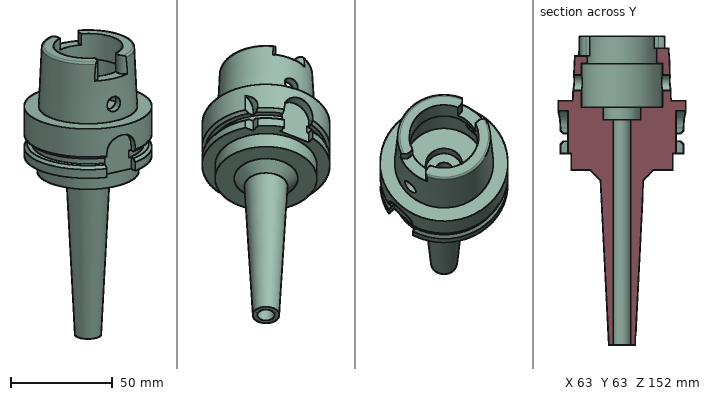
import cadquery as cq

total_height = 152.0
flange_top = 120.2
groove_top = 104.0
groove_bottom = 100.3
flange_bottom = 94.2
collar_bottom = 86.0
shank_top = 81.0

tip_radius = 6.5
shank_radius = 10.6
neck_radius = 15.7
collar_radius = 25.1
flange_radius = 31.5
groove_radius = 27.5
taper_base_radius = 24.3
taper_top_radius = 22.8

groove_chamfer = 1.5
rim_rounding = 1.0

through_hole_radius = 4.3
pocket_radius = 9.1
pocket_floor = 111.0
cavity_radius = 19.9
cavity_floor = 117.0
mouth_radius = 17.0
mouth_depth = 13.5

notch_half_width = 6.1
notch_corner_radius = 3.3
notch_corner_reach = 21.1
shallow_notch_depth = 6.0
deep_notch_depth = 9.7

cross_hole_radius = 3.8
cross_hole_height = 129.0

slot_radius = 8.2
slot_top = 115.2
key_slot_floor = 26.6
index_corner = 19.9

cut_reach = 2 * flange_radius


def revolve_profile(points):
    """Revolve a closed (radius, height) outline about the Z axis."""
    return cq.Workplane("XZ").polyline(points).close().revolve(360, (0, 0, 0), (0, 1, 0))


def make_body():
    """Shank, collar, grooved flange and hollow taper, before any cuts."""
    chamfered_radius = flange_radius - groove_chamfer
    body = revolve_profile([
        (0, 0),
        (tip_radius, 0),
        (shank_radius, shank_top),
        (neck_radius, collar_bottom),
        (collar_radius, collar_bottom),
        (collar_radius, flange_bottom),
        (flange_radius, flange_bottom),
        (flange_radius, groove_bottom - groove_chamfer),
        (chamfered_radius, groove_bottom),
        (groove_radius, groove_bottom),
        (groove_radius, groove_top),
        (chamfered_radius, groove_top),
        (flange_radius, groove_top + groove_chamfer),
        (flange_radius, flange_top),
        (taper_base_radius, flange_top),
        (taper_top_radius, total_height),
        (0, total_height),
    ])
    return body.faces(">Z").edges().fillet(rim_rounding)


def make_bore():
    """Through hole, pocket, and cavity with a step in to the mouth."""
    mouth_bottom = total_height - mouth_depth
    return revolve_profile([
        (0, 0),
        (through_hole_radius, 0),
        (through_hole_radius, pocket_floor),
        (pocket_radius, pocket_floor),
        (pocket_radius, cavity_floor),
        (cavity_radius, cavity_floor),
        (cavity_radius, mouth_bottom),
        (mouth_radius, mouth_bottom),
        (mouth_radius, total_height),
        (0, total_height),
    ])


def make_notch(side, depth):
    """Rim notch on the given X side (-1 or 1), flaring outwards around rounded corners."""
    arc_start = notch_corner_reach - notch_corner_radius
    flare_half_width = notch_half_width + notch_corner_radius
    diagonal = notch_corner_radius * 0.5 ** 0.5
    arc_middle = (side * (arc_start + diagonal), flare_half_width - diagonal)
    half = (
        cq.Workplane("XY", origin=(0, 0, total_height - depth))
        .lineTo(0, notch_half_width)
        .lineTo(side * arc_start, notch_half_width)
        .threePointArc(arc_middle, (side * notch_corner_reach, flare_half_width))
        .lineTo(side * cut_reach, flare_half_width)
        .lineTo(side * cut_reach, 0)
        .close()
        .extrude(depth)
    )
    return half.union(half.mirror("XZ"))


def make_flange_slot(side, floor, center_y):
    """Round-topped slot open below, cut from the given X side in to the floor distance."""
    arc_height = slot_top - slot_radius
    left = center_y - slot_radius
    right = center_y + slot_radius
    return (
        cq.Workplane("YZ", origin=(side * floor, 0, 0))
        .moveTo(left, flange_bottom)
        .lineTo(left, arc_height)
        .threePointArc((center_y, slot_top), (right, arc_height))
        .lineTo(right, flange_bottom)
        .close()
        .extrude(side * cut_reach)
    )


cross_hole = (
    cq.Workplane("YZ")
    .center(0, cross_hole_height)
    .circle(cross_hole_radius)
    .extrude(cut_reach, both=True)
)

result = (
    make_body()
    .cut(make_bore())
    .cut(make_notch(-1, shallow_notch_depth))
    .cut(make_notch(1, deep_notch_depth))
    .cut(cross_hole)
)

for key_side in (-1, 1):
    result = result.cut(make_flange_slot(key_side, key_slot_floor, 0))

result = result.cut(make_flange_slot(-1, index_corner, index_corner + slot_radius))